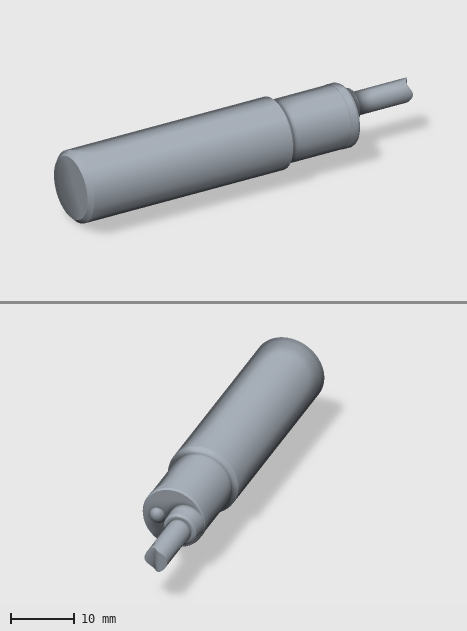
import cadquery as cq

total_length = 63.5

barrel_diameter = 12.0
sleeve_diameter = 10.5
barrel_chamfer = (barrel_diameter - sleeve_diameter) / 2
barrel_length = 38.05
cap_diameter = 10.6
cap_start = 48.5
cap_end = 50.1
rim_bevel_length = 0.4
rim_bevel_depth = 0.2

cable_x = -2.3
collar_diameter = 5.5
collar_end = 53.15
collar_chamfer = 0.3
collar_flare_length = collar_end - collar_chamfer - cap_end
collar_flare_width = 0.2
cable_diameter = 3.9
cable_crest_height = 0.45
cable_trough_depth = 0.6

lamp_x = 2.6
lamp_diameter = 3.0
lamp_height = 0.9


def cylinder(diameter, start, end, center_x=0.0):
    """Cylinder along +Y between two Y positions."""
    plane = cq.Plane(origin=(center_x, start, 0), xDir=(1, 0, 0), normal=(0, 1, 0))
    return cq.Workplane(plane).circle(diameter / 2).extrude(end - start)


def make_barrel():
    """Barrel chamfered at both ends."""
    return cylinder(barrel_diameter, 0, barrel_length).edges().chamfer(barrel_chamfer)


def make_sleeve_and_cap():
    """Sleeve starting inside the barrel, and the end cap with its bevelled rim."""
    sleeve_radius = sleeve_diameter / 2
    cap_radius = cap_diameter / 2
    start = barrel_length - barrel_chamfer
    profile = (
        cq.Workplane("XY")
        .moveTo(0, start)
        .lineTo(sleeve_radius, start)
        .lineTo(sleeve_radius, cap_start)
        .lineTo(cap_radius, cap_start)
        .lineTo(cap_radius, cap_end - rim_bevel_length)
        .lineTo(cap_radius - rim_bevel_depth, cap_end)
        .lineTo(0, cap_end)
        .close()
    )
    return profile.revolve(360, (0, 0, 0), (0, 1, 0))


def make_collar():
    """Collar with a gentle concave flare at its root, trimmed to the cap outline."""
    radius = collar_diameter / 2
    root_radius = radius + collar_flare_width
    flare_radius = (collar_flare_length**2 + collar_flare_width**2) / (2 * collar_flare_width)
    start = cap_end - rim_bevel_length
    profile = (
        cq.Workplane("XY")
        .moveTo(0, start)
        .lineTo(root_radius, start)
        .lineTo(root_radius, cap_end)
        .radiusArc((radius, cap_end + collar_flare_length), flare_radius)
        .lineTo(radius - collar_chamfer, collar_end)
        .lineTo(0, collar_end)
        .close()
    )
    collar = profile.revolve(360, (0, 0, 0), (0, 1, 0)).translate((cable_x, 0, 0))
    return collar.intersect(cylinder(cap_diameter, start, collar_end))


def make_cable():
    """Cable whose broken end is a wave: one crest followed by one trough."""
    radius = cable_diameter / 2
    wave_middle = total_length - cable_crest_height
    side_profile = (
        cq.Workplane("XY")
        .moveTo(cable_x - radius, cap_end)
        .lineTo(cable_x - radius, wave_middle)
        .threePointArc((cable_x - radius / 2, total_length), (cable_x, wave_middle))
        .threePointArc(
            (cable_x + radius / 2, wave_middle - cable_trough_depth),
            (cable_x + radius, wave_middle),
        )
        .lineTo(cable_x + radius, cap_end)
        .close()
        .extrude(radius, both=True)
    )
    return cylinder(cable_diameter, cap_end, total_length, cable_x).intersect(side_profile)


def make_lamp():
    """Sphere sunk into the cap so that only its dome stands proud."""
    center_y = cap_end + lamp_height - lamp_diameter / 2
    return cq.Workplane("XY").sphere(lamp_diameter / 2).translate((lamp_x, center_y, 0))


body = make_barrel().union(make_sleeve_and_cap())
result = body.union(make_collar()).union(make_cable()).union(make_lamp())